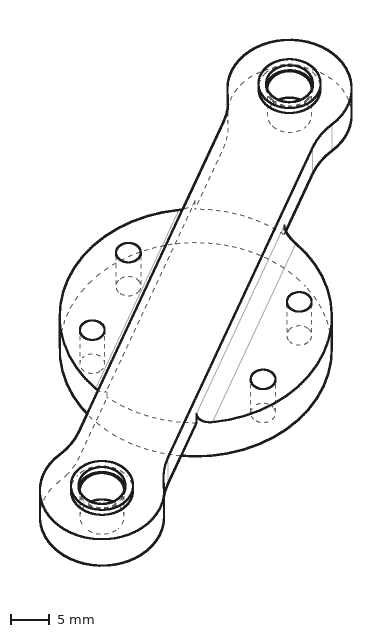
import cadquery as cq
import math

overall_length = 86.0
disc_diameter = 35.0
disc_height = 7.0
end_radius = 8.0
arm_width = 12.2
arm_height = 5.5
neck_radius = 10.0
collar_diameter = 8.0
collar_height = 1.0
collar_bore_diameter = 6.0
bore_diameter = 5.7
fillet_radius = 1.9
bolt_hole_diameter = 3.2
bolt_circle_radius = 13.5
bolt_angle = 30.0

half_width = arm_width / 2
eye_y = overall_length / 2 - end_radius
eye_points = [(0, -eye_y), (0, eye_y)]
arm_top = disc_height + arm_height

neck_center_x = half_width + neck_radius
neck_drop = math.sqrt((end_radius + neck_radius) ** 2 - neck_center_x ** 2)
neck_center_y = eye_y - neck_drop
neck_share = end_radius / (end_radius + neck_radius)
tangent_x = neck_center_x * neck_share
tangent_y = eye_y - neck_drop * neck_share
neck_angle = math.asin(neck_drop / (end_radius + neck_radius))
neck_mid_x = neck_center_x - neck_radius * math.cos(neck_angle / 2)
neck_mid_y = neck_center_y + neck_radius * math.sin(neck_angle / 2)


def make_disc(height):
    return cq.Workplane("XY").circle(disc_diameter / 2).extrude(height)


def make_arm():
    """Flat bar whose sides flare smoothly into a round eye at each end."""
    return (
        cq.Workplane("XY", origin=(0, 0, disc_height))
        .moveTo(half_width, -neck_center_y)
        .lineTo(half_width, neck_center_y)
        .threePointArc((neck_mid_x, neck_mid_y), (tangent_x, tangent_y))
        .threePointArc((0, overall_length / 2), (-tangent_x, tangent_y))
        .threePointArc((-neck_mid_x, neck_mid_y), (-half_width, neck_center_y))
        .lineTo(-half_width, -neck_center_y)
        .threePointArc((-neck_mid_x, -neck_mid_y), (-tangent_x, -tangent_y))
        .threePointArc((0, -overall_length / 2), (tangent_x, -tangent_y))
        .threePointArc((neck_mid_x, -neck_mid_y), (half_width, -neck_center_y))
        .close()
        .extrude(arm_height)
    )


def make_side_fillets():
    """Concave fillets along both arm sides, trimmed to the rim of the disc."""
    toe_x = half_width + fillet_radius
    fillet_top = disc_height + fillet_radius
    arc_offset = fillet_radius * math.sqrt(0.5)
    fillet = (
        cq.Workplane("XZ")
        .moveTo(0, disc_height)
        .lineTo(toe_x, disc_height)
        .threePointArc((toe_x - arc_offset, fillet_top - arc_offset), (half_width, fillet_top))
        .lineTo(0, fillet_top)
        .close()
        .extrude(disc_diameter / 2, both=True)
    )
    return fillet.union(fillet.mirror("YZ")).intersect(make_disc(arm_top))


def make_collars():
    return (
        cq.Workplane("XY", origin=(0, 0, arm_top))
        .pushPoints(eye_points)
        .circle(collar_diameter / 2)
        .extrude(collar_height)
    )


def make_holes():
    """Bores through both eyes, slightly wider inside the collars, and four bolt holes through the disc."""
    bores = (
        cq.Workplane("XY")
        .pushPoints(eye_points)
        .circle(bore_diameter / 2)
        .extrude(arm_top)
    )
    collar_bores = (
        cq.Workplane("XY", origin=(0, 0, arm_top))
        .pushPoints(eye_points)
        .circle(collar_bore_diameter / 2)
        .extrude(collar_height)
    )
    bolt_x = bolt_circle_radius * math.cos(math.radians(bolt_angle))
    bolt_y = bolt_circle_radius * math.sin(math.radians(bolt_angle))
    bolt_holes = (
        cq.Workplane("XY")
        .rect(2 * bolt_x, 2 * bolt_y, forConstruction=True)
        .vertices()
        .circle(bolt_hole_diameter / 2)
        .extrude(disc_height)
    )
    return bores.union(collar_bores).union(bolt_holes)


body = make_disc(disc_height).union(make_arm()).union(make_side_fillets())
result = body.union(make_collars()).cut(make_holes())